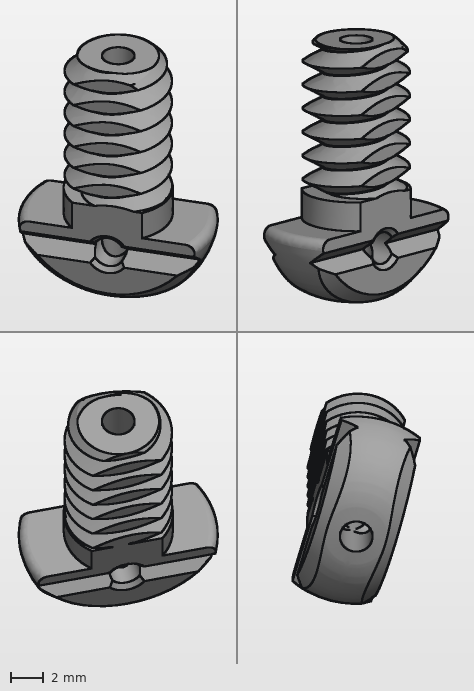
import cadquery as cq
import math


TOTAL_HEIGHT = 16.23
PART_WIDTH = 5.0
HEAD_HEIGHT = 4.95
COLLAR_TOP = 6.77
COLLAR_DIAMETER = 6.7
BORE_DIAMETER = 2.0

BOWL_RADIUS = 5.17
BOTTOM_FLAT_RADIUS = 1.0
RIM_FILLET = 0.55

BEVEL_CENTER_Z = 6.55
BEVEL_WIDTH = 0.73
BEVEL_DROP = 0.61

GROOVE_Z = 3.4
GROOVE_DEPTH = 1.0
GROOVE_HALF_HEIGHT = 0.76
HOLE_CHAMFER = 0.32

PITCH = 1.5
CREST_RADIUS = 3.3
THREAD_ANGLE = math.radians(60)
SHARP_ROOT_RADIUS = CREST_RADIUS - PITCH / 2 / math.tan(THREAD_ANGLE / 2)
ROOT_FILL = 0.03
CORE_RADIUS = SHARP_ROOT_RADIUS + ROOT_FILL
FIRST_CREST_Z = 5.34
TIP_RADIUS = 2.5
TURN_GAP = 0.02
RIDGE_OVERLAP = 0.15

half_width = PART_WIDTH / 2
bore_radius = BORE_DIAMETER / 2
span_length = 4 * BOWL_RADIUS
collar_base = HEAD_HEIGHT / 2


def make_bowl():
    """Turned head blank with a filleted top rim."""
    rise = BOWL_RADIUS - HEAD_HEIGHT
    rim_radius = BOTTOM_FLAT_RADIUS + math.sqrt(BOWL_RADIUS**2 - rise**2)
    diagonal = BOWL_RADIUS * math.sqrt(0.5)
    arc_middle = (BOTTOM_FLAT_RADIUS + diagonal, BOWL_RADIUS - diagonal)
    profile = (
        cq.Workplane("XZ")
        .lineTo(BOTTOM_FLAT_RADIUS, 0)
        .threePointArc(arc_middle, (rim_radius, HEAD_HEIGHT))
        .lineTo(0, HEAD_HEIGHT)
        .close()
    )
    return profile.revolve(360, (0, 0, 0), (0, 1, 0)).faces(">Z").edges().fillet(RIM_FILLET)


def make_bevel_envelope():
    """Double cone about Y that trims the bowl below the groove axis; everything above is kept."""
    face_radius = BEVEL_CENTER_Z - BEVEL_DROP
    ridge_radius = face_radius + half_width * BEVEL_DROP / BEVEL_WIDTH
    profile = (
        cq.Workplane("XY")
        .moveTo(0, -half_width)
        .lineTo(face_radius, -half_width)
        .lineTo(ridge_radius, 0)
        .lineTo(face_radius, half_width)
        .lineTo(0, half_width)
        .close()
    )
    cone = profile.revolve(360, (0, 0, 0), (0, 1, 0)).translate((0, 0, BEVEL_CENTER_Z))
    upper_block = cq.Workplane("XY", origin=(0, 0, GROOVE_Z)).rect(span_length, PART_WIDTH)
    return cone.union(upper_block.extrude(TOTAL_HEIGHT))


def make_groove(side):
    """V-shaped cutter along X on the flat at Y = side * half_width."""
    profile = cq.Workplane("YZ", origin=(-span_length / 2, 0, GROOVE_Z)).polyline([
        (side * half_width, -GROOVE_HALF_HEIGHT),
        (side * (half_width - GROOVE_DEPTH), 0),
        (side * half_width, GROOVE_HALF_HEIGHT),
    ])
    return profile.close().extrude(span_length)


def make_cross_hole():
    """Cross hole along Y with a 45 degree chamfer at both mouths."""
    mouth_radius = bore_radius + HOLE_CHAMFER
    chamfer_start = half_width - HOLE_CHAMFER
    profile = (
        cq.Workplane("XY")
        .moveTo(0, -half_width)
        .lineTo(mouth_radius, -half_width)
        .lineTo(bore_radius, -chamfer_start)
        .lineTo(bore_radius, chamfer_start)
        .lineTo(mouth_radius, half_width)
        .lineTo(0, half_width)
        .close()
    )
    return profile.revolve(360, (0, 0, 0), (0, 1, 0)).translate((0, 0, GROOVE_Z))


def make_thread_ridge():
    """Helical ridge starting inside the collar and running out past the top."""
    half_base = (PITCH - TURN_GAP) / 2
    foot_radius = SHARP_ROOT_RADIUS - RIDGE_OVERLAP
    helix_height = TOTAL_HEIGHT + PITCH - FIRST_CREST_Z
    helix = cq.Wire.makeHelix(PITCH, helix_height, SHARP_ROOT_RADIUS)
    profile = cq.Workplane("XZ").polyline([
        (foot_radius, -half_base),
        (SHARP_ROOT_RADIUS, -half_base),
        (CREST_RADIUS, 0),
        (SHARP_ROOT_RADIUS, half_base),
        (foot_radius, half_base),
    ])
    ridge = profile.close().sweep(cq.Workplane(helix), isFrenet=True)
    return ridge.translate((0, 0, FIRST_CREST_Z))


def make_shank_envelope():
    """Cylinder between collar and top, chamfered at the tip, that bounds the thread."""
    radius = COLLAR_DIAMETER / 2
    height = TOTAL_HEIGHT - HEAD_HEIGHT
    blank = cq.Workplane("XY", origin=(0, 0, HEAD_HEIGHT)).circle(radius).extrude(height)
    return blank.faces(">Z").chamfer(radius - TIP_RADIUS)


def make_shank():
    """Threaded core trimmed to its envelope."""
    core = cq.Workplane("XY", origin=(0, 0, HEAD_HEIGHT)).circle(CORE_RADIUS)
    core = core.extrude(TOTAL_HEIGHT - HEAD_HEIGHT)
    ridge = make_thread_ridge().intersect(make_shank_envelope())
    return core.union(ridge)


head = make_bowl().intersect(make_bevel_envelope())
collar = cq.Workplane("XY", origin=(0, 0, collar_base)).circle(COLLAR_DIAMETER / 2)
collar = collar.extrude(COLLAR_TOP - collar_base)
flats = cq.Workplane("XY").box(span_length, PART_WIDTH, TOTAL_HEIGHT, centered=(True, True, False))

result = collar.union(make_shank()).intersect(flats).union(head)
for side in (-1, 1):
    result = result.cut(make_groove(side))
result = result.cut(make_cross_hole())
result = result.cut(cq.Workplane("XY").circle(bore_radius).extrude(TOTAL_HEIGHT))